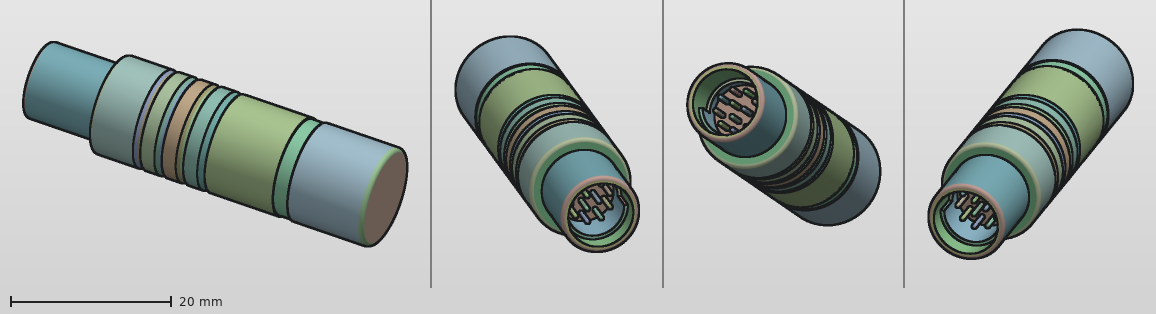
import cadquery as cq
import math

TOTAL_LENGTH = 48.0

NOSE_LENGTH = 10.0
NOSE_RADIUS = 5.05
NOSE_ROUND = 0.5

BODY_DIAMETER = 13.0
BODY_RADIUS = BODY_DIAMETER / 2
BODY_FRONT_ROUND = 0.5
BODY_REAR_ROUND = 0.6

GROOVE_COUNT = 4
GROOVE_START = 16.15
GROOVE_PITCH = 3.0
GROOVE_WIDTH = 1.0
GROOVE_RAMP_LENGTH = GROOVE_WIDTH / 2
GROOVE_DEPTH = 0.3

NECK_START = 35.5
NECK_LENGTH = 2.0
NECK_DEPTH = 0.15

MOUTH_RADIUS = 4.2
LOWER_MOUTH_DEPTH = 2.7
UPPER_MOUTH_DEPTH = 6.0
SOCKET_RADIUS = 3.7
SOCKET_DEPTH = 8.0

PIN_RADIUS = 0.35
PIN_LENGTH = 3.5
OUTER_PIN_COUNT = 9
OUTER_PIN_CIRCLE = 2.6
OUTER_PIN_FIRST_ANGLE = 0.0
INNER_PIN_COUNT = 3
INNER_PIN_CIRCLE = 1.0
INNER_PIN_FIRST_ANGLE = 180.0


def rod(start, length, radius):
    """Cylinder along X, centred on the connector axis."""
    return cq.Workplane("YZ", origin=(start, 0, 0)).circle(radius).extrude(length)


def nose():
    return rod(0, NOSE_LENGTH, NOSE_RADIUS).faces("<X").edges().fillet(NOSE_ROUND)


def body():
    sleeve = rod(NOSE_LENGTH, TOTAL_LENGTH - NOSE_LENGTH, BODY_RADIUS)
    sleeve = sleeve.faces("<X").edges().fillet(BODY_FRONT_ROUND)
    return sleeve.faces(">X").edges().fillet(BODY_REAR_ROUND)


def grip_groove(start):
    """Ring cutter: a straight ramp down from the front, then an arc sweeping up at the rear."""
    floor_radius = BODY_RADIUS - GROOVE_DEPTH
    profile = (
        cq.Workplane("XY")
        .moveTo(start, BODY_RADIUS)
        .lineTo(start + GROOVE_RAMP_LENGTH, floor_radius)
        .tangentArcPoint((start + GROOVE_WIDTH, BODY_RADIUS), relative=False)
        .close()
    )
    return profile.revolve(360, (0, 0, 0), (1, 0, 0))


def neck():
    """Ring cutter for the shallow band ahead of the rear cap."""
    return rod(NECK_START, NECK_LENGTH, BODY_RADIUS).cut(
        rod(NECK_START, NECK_LENGTH, BODY_RADIUS - NECK_DEPTH)
    )


def mouth():
    """Bore cutter: full round at first, then only its upper half runs deeper."""
    upper_side = cq.Workplane("XY").box(
        UPPER_MOUTH_DEPTH, 2 * MOUTH_RADIUS, MOUTH_RADIUS, centered=(False, True, False)
    )
    half_bore = rod(0, UPPER_MOUTH_DEPTH, MOUTH_RADIUS).intersect(upper_side)
    return rod(0, LOWER_MOUTH_DEPTH, MOUTH_RADIUS).union(half_bore)


def pin_ring(count, circle_radius, first_angle):
    """Round-tipped contact pins standing on the socket floor; angles run from +Y towards +Z."""
    shank_length = PIN_LENGTH - PIN_RADIUS
    shank_start = SOCKET_DEPTH - shank_length
    tip = cq.Workplane("XY", origin=(shank_start, 0, 0)).sphere(PIN_RADIUS)
    pin = rod(shank_start, shank_length, PIN_RADIUS).union(tip)
    pins = cq.Workplane("YZ")
    for index in range(count):
        angle = math.radians(first_angle + index * 360 / count)
        place = (0, circle_radius * math.cos(angle), circle_radius * math.sin(angle))
        pins = pins.add(pin.translate(place))
    return pins.combine()


result = nose().union(body())
for index in range(GROOVE_COUNT):
    result = result.cut(grip_groove(GROOVE_START + index * GROOVE_PITCH))
result = result.cut(neck())
result = result.cut(mouth())
result = result.cut(rod(0, SOCKET_DEPTH, SOCKET_RADIUS))
result = result.union(pin_ring(OUTER_PIN_COUNT, OUTER_PIN_CIRCLE, OUTER_PIN_FIRST_ANGLE))
result = result.union(pin_ring(INNER_PIN_COUNT, INNER_PIN_CIRCLE, INNER_PIN_FIRST_ANGLE))